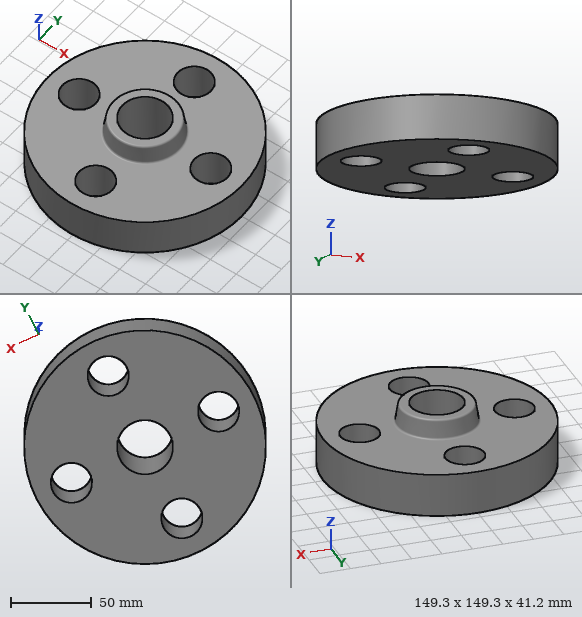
import cadquery as cq

flange_diameter = 149.3
flange_thickness = 28.5

total_height = 41.2
hub_base_diameter = 52.3
hub_top_diameter = 48.0
hub_edge_radius = 1.5

bore_diameter = 34.5
bolt_hole_diameter = 25.4
bolt_circle_diameter = 101.5
bolt_hole_count = 4


def make_plate():
    return cq.Workplane("XY").circle(flange_diameter / 2).extrude(flange_thickness)


def make_hub():
    return (
        cq.Workplane("XY", origin=(0, 0, flange_thickness))
        .circle(hub_base_diameter / 2)
        .workplane(offset=total_height - flange_thickness)
        .circle(hub_top_diameter / 2)
        .loft(combine=True)
    )


def round_hub(body):
    """Round the top rim of the hub and fillet its foot onto the plate."""
    hub_foot = cq.selectors.RadiusNthSelector(0)
    plate_top = cq.selectors.NearestToPointSelector((flange_diameter / 2, 0, flange_thickness))
    rounded_rim = body.faces(">Z").edges().fillet(hub_edge_radius)
    return rounded_rim.faces("|Z").faces(plate_top).edges(hub_foot).fillet(hub_edge_radius)


def make_holes():
    bore = cq.Workplane("XY").circle(bore_diameter / 2).extrude(total_height)
    bolt_holes = (
        cq.Workplane("XY")
        .polarArray(bolt_circle_diameter / 2, 0, 360, bolt_hole_count)
        .circle(bolt_hole_diameter / 2)
        .extrude(flange_thickness)
    )
    return bore.union(bolt_holes)


result = round_hub(make_plate().union(make_hub())).cut(make_holes())